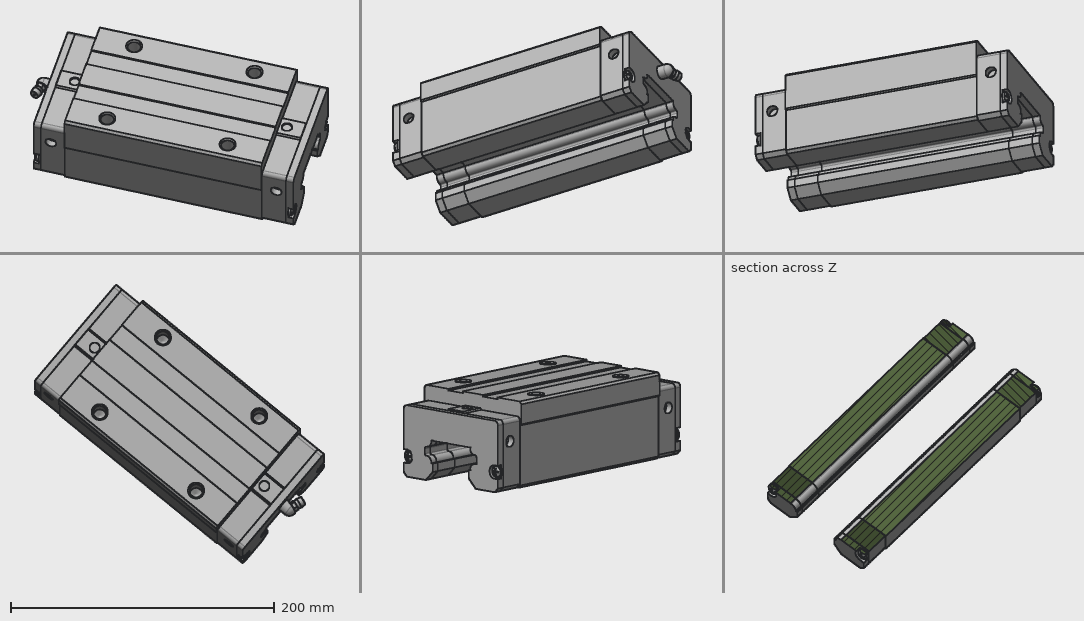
import cadquery as cq
import math


block_length = 155.2
block_height = 67.0
block_width = 100.0
side_step = 1.0
front_step_z = 37.2
back_step_z = 49.6
block_top_chamfer = 2.0
block_bottom_chamfer = 2.2
groove_inner_y = 10.5
groove_outer_y = 25.0
groove_depth = 1.3
mount_hole_x = 47.5
mount_hole_y = 37.5
mount_hole_diameter = 10.0
mount_hole_depth = 15.2
mount_hole_mouth_diameter = 12.5
drill_point_angle = 118

cap_length = 19.0
seal_length = 5.9
cap_width = 96.9
cap_height = 55.3
cap_corner_radius = 3.0
cap_bottom_chamfer = 3.3
pad_base_width = 17.5
pad_top_width = 15.0
pad_height = 1.3
pad_hole_diameter = 7.8
pad_hole_x = 83.5
side_hole_diameter = 8.5
side_hole_x = 88.8
side_hole_z = 37.9
side_hole_depth = 5.7

passage_top_z = 31.3
bead_radius = 4.5
bead_center_y = 24.5
bead_spacing = 16.1
recess_mid_z = 22.5
recess_half_width = 26.5
recess_corner_radius = 1.5
lip_half_width = 18.5
lip_top_z = 13.7
lip_bottom_z = 7.2

screw_y = 45.0
screw_z = 15.7
screw_head_radius = 4.4
screw_rim_height = 2.0
screw_dome_height = 2.0
screw_slot_length = 5.7
screw_slot_width = 0.9
screw_slot_depth = 1.5
screw_notch_radius = 5.2
screw_notch_depth = 4.1

elbow_radius = 5.2
elbow_reach = 5.9
nipple_z = 45.0
nipple_lean = 18
elbow_flat = 2.6
hex_end = 5.9
collar_distance = 8.5
spout_end = 12.5
hex_across_flats = 7.0
neck_radius = 3.3
collar_radius = 4.0
tip_radius = 3.3
tip_hole_diameter = 0.9
tip_hole_depth = 2.2

block_end_x = block_length / 2
cap_end_x = block_end_x + cap_length
seal_end_x = cap_end_x + seal_length
half_block = block_width / 2


def extrude_along_x(outline, start_x, length):
    """Prism of a closed outline drawn in the YZ plane."""
    return outline.extrude(length).translate((start_x, 0, 0))


def passage(start_x, length):
    """Cutter with the shape of the rail passage."""
    upper_z = recess_mid_z + bead_spacing / 2
    lower_z = recess_mid_z - bead_spacing / 2
    bead_y = bead_center_y - bead_radius
    recess_top = upper_z - bead_radius
    recess_bottom = lower_z + bead_radius
    diagonal = bead_radius * math.sqrt(0.5)
    half = (
        cq.Workplane("YZ")
        .moveTo(0, 0)
        .lineTo(lip_half_width + lip_bottom_z, 0)
        .lineTo(lip_half_width, lip_bottom_z)
        .lineTo(lip_half_width, lip_top_z)
        .lineTo(bead_y, lip_top_z)
        .lineTo(bead_y, lower_z)
        .threePointArc((bead_center_y - diagonal, lower_z + diagonal), (bead_center_y, recess_bottom))
        .lineTo(recess_half_width - recess_corner_radius, recess_bottom)
        .radiusArc((recess_half_width, recess_bottom + recess_corner_radius), -recess_corner_radius)
        .lineTo(recess_half_width, recess_top - recess_corner_radius)
        .radiusArc((recess_half_width - recess_corner_radius, recess_top), -recess_corner_radius)
        .lineTo(bead_center_y, recess_top)
        .threePointArc((bead_center_y - diagonal, upper_z - diagonal), (bead_y, upper_z))
        .lineTo(bead_y, passage_top_z)
        .lineTo(0, passage_top_z)
        .close()
    )
    right_half = extrude_along_x(half, start_x, length)
    return right_half.union(right_half.mirror("XZ"))


def mount_hole():
    """Cutter for one blind drilled hole with a chamfered mouth, its top at the origin."""
    radius = mount_hole_diameter / 2
    mouth = mount_hole_mouth_diameter / 2
    point = radius / math.tan(math.radians(drill_point_angle / 2))
    return (
        cq.Workplane("XZ")
        .polyline([
            (0, 0),
            (mouth, 0),
            (radius, radius - mouth),
            (radius, -mount_hole_depth),
            (0, -mount_hole_depth - point),
        ])
        .close()
        .revolve(360, (0, 0, 0), (0, 1, 0))
    )


def make_block():
    low = half_block - side_step
    outline = cq.Workplane("YZ").polyline([
        (-low + block_bottom_chamfer, 0),
        (low - block_bottom_chamfer, 0),
        (low, block_bottom_chamfer),
        (low, back_step_z - side_step),
        (half_block, back_step_z),
        (half_block, block_height - block_top_chamfer),
        (half_block - block_top_chamfer, block_height),
        (-half_block + block_top_chamfer, block_height),
        (-half_block, block_height - block_top_chamfer),
        (-half_block, front_step_z),
        (-low, front_step_z - side_step),
        (-low, block_bottom_chamfer),
    ]).close()
    body = extrude_along_x(outline, -block_end_x, block_length)
    body = body.cut(passage(-block_end_x, block_length))

    groove_y = (groove_inner_y + groove_outer_y) / 2
    groove_width = groove_outer_y - groove_inner_y
    for side in (-1, 1):
        groove = cq.Workplane("XY").box(block_length, groove_width, 2 * groove_depth)
        body = body.cut(groove.translate((0, side * groove_y, block_height)))

    for x in (-mount_hole_x, mount_hole_x):
        for y in (-mount_hole_y, mount_hole_y):
            body = body.cut(mount_hole().translate((x, y, block_height)))
    return body


def end_plate(start_x, length):
    """Plate with the outline shared by caps and seals, with the rail passage cut out."""
    plate = (
        cq.Workplane("XY")
        .box(length, cap_width, cap_height, centered=(False, True, False))
        .translate((start_x, 0, 0))
    )
    plate = plate.edges("|X and >Z").fillet(cap_corner_radius)
    plate = plate.edges("|X and <Z").chamfer(cap_bottom_chamfer)
    return plate.cut(passage(start_x, length))


def make_cap():
    """End cap for the +X end."""
    body = end_plate(block_end_x, cap_length)

    pad_outline = cq.Workplane("YZ").polyline([
        (-pad_base_width / 2, cap_height),
        (pad_base_width / 2, cap_height),
        (pad_top_width / 2, cap_height + pad_height),
        (-pad_top_width / 2, cap_height + pad_height),
    ]).close()
    body = body.union(extrude_along_x(pad_outline, block_end_x, cap_length))

    pad_hole = cq.Workplane("XY").circle(pad_hole_diameter / 2).extrude(pad_height)
    body = body.cut(pad_hole.translate((pad_hole_x, 0, cap_height)))

    side_hole = cq.Workplane("XZ").circle(side_hole_diameter / 2).extrude(side_hole_depth, both=True)
    for side in (-1, 1):
        body = body.cut(side_hole.translate((side_hole_x, side * cap_width / 2, side_hole_z)))
    return body


def make_seal():
    """End seal for the +X end, with an open-sided notch for each screw head."""
    body = end_plate(cap_end_x, seal_length)
    floor_x = seal_end_x - screw_notch_depth
    round_end = cq.Workplane("YZ").center(screw_y, screw_z).circle(screw_notch_radius)
    mouth = cq.Workplane("YZ").center(screw_y, screw_z).rect(
        2 * screw_notch_radius, 2 * screw_notch_radius).extrude(screw_notch_depth)
    mouth = mouth.translate((floor_x, screw_notch_radius, 0))
    notch = extrude_along_x(round_end, floor_x, screw_notch_depth).union(mouth)
    return body.cut(notch).cut(notch.mirror("XZ"))


def make_screw():
    """Domed cross-slot screw head seated on the notch floor, at +X and +Y."""
    top = screw_rim_height + screw_dome_height
    dome_radius = (screw_head_radius**2 + screw_dome_height**2) / (2 * screw_dome_height)
    head = (
        cq.Workplane("XY")
        .moveTo(0, 0)
        .lineTo(0, screw_head_radius)
        .lineTo(screw_rim_height, screw_head_radius)
        .radiusArc((top, 0), dome_radius)
        .close()
        .revolve(360, (0, 0, 0), (1, 0, 0))
    )
    for width, height in ((screw_slot_length, screw_slot_width), (screw_slot_width, screw_slot_length)):
        slot = cq.Workplane("XY").box(2 * screw_slot_depth, width, height)
        head = head.cut(slot.translate((top, 0, 0)))
    return head.translate((seal_end_x - screw_notch_depth, screw_y, screw_z))


def make_nipple():
    """Elbow on the -X seal with a hexagonal neck and a tapered spout."""
    elbow = cq.Workplane("YZ").circle(elbow_radius).extrude(elbow_reach)
    elbow = elbow.union(cq.Workplane("XY").sphere(elbow_radius))
    beyond_flat = cq.Workplane("XZ").rect(6 * elbow_radius, 6 * elbow_radius).extrude(2 * elbow_radius)
    beyond_flat = beyond_flat.translate((0, -elbow_flat, 0))

    corner_diameter = hex_across_flats / math.cos(math.radians(30))
    spout = cq.Workplane("XZ").polygon(6, corner_diameter).extrude(hex_end)
    taper = (
        cq.Workplane("XY")
        .polyline([
            (0, 0),
            (neck_radius, 0),
            (neck_radius, -hex_end),
            (collar_radius, -collar_distance),
            (tip_radius, -spout_end),
            (0, -spout_end),
        ])
        .close()
        .revolve(360, (0, 0, 0), (0, 1, 0))
    )
    tip_hole = cq.Workplane("XZ").circle(tip_hole_diameter / 2).extrude(tip_hole_depth)
    spout = spout.union(taper).cut(tip_hole.translate((0, tip_hole_depth - spout_end, 0)))

    origin, vertical = (0, 0, 0), (0, 0, 1)
    beyond_flat = beyond_flat.rotate(origin, vertical, -nipple_lean)
    spout = spout.rotate(origin, vertical, -nipple_lean)
    nipple = elbow.cut(beyond_flat).union(spout)
    return nipple.translate((-seal_end_x - elbow_reach, 0, nipple_z))


block = make_block()
nipple = make_nipple()

caps = [make_cap(), make_cap().mirror("YZ")]
seals = [make_seal(), make_seal().mirror("YZ")]

screws = []
for end in (0, 180):
    turned = make_screw().rotate((0, 0, 0), (0, 0, 1), end)
    screws += [turned, turned.mirror("XZ")]

bodies = [block, *caps, *seals, *screws, nipple]
result = cq.Compound.makeCompound([body.val() for body in bodies])